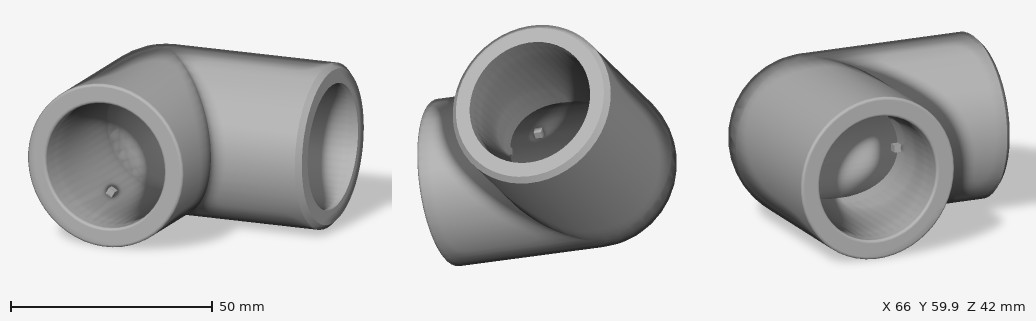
import cadquery as cq

socket_diameter = 42.0
socket_bore = 32.0
spigot_diameter = 41.9
spigot_bore = 31.95
overall_x = 66.0
overall_y = 59.9

socket_length = overall_y - socket_diameter / 2
spigot_length = overall_x - socket_diameter / 2
spigot_shift = (socket_diameter - spigot_diameter) / 2
bore_shift = (socket_bore - spigot_bore) / 2

socket_rim_fillet = 0.7
spigot_chamfer = 1.3

stop_count = 3
stop_width = 1.85
stop_height = 1.85
stop_length = 2.0
stop_overlap = 0.65
stop_start = socket_bore / 2


def socket_cylinder(diameter):
    """Cylinder from the corner to the socket mouth."""
    return cq.Workplane("XZ").circle(diameter / 2).extrude(socket_length)


def spigot_cylinder(diameter, shift):
    """Cylinder from the corner to the spigot end, shifted along Y."""
    return cq.Workplane("YZ").center(shift, 0).circle(diameter / 2).extrude(spigot_length)


def elbow_outside():
    socket = socket_cylinder(socket_diameter).faces("<Y").edges().fillet(socket_rim_fillet)
    spigot = spigot_cylinder(spigot_diameter, spigot_shift).faces(">X").edges().chamfer(spigot_chamfer)
    corner = cq.Workplane("XY").sphere(socket_diameter / 2)
    return corner.union(socket).union(spigot)


def elbow_passage():
    corner = cq.Workplane("XY").sphere(socket_bore / 2)
    socket = socket_cylinder(socket_bore)
    return corner.union(socket).union(spigot_cylinder(spigot_bore, bore_shift))


def pipe_stop(angle):
    """Small block standing inwards from the socket wall, at an angle about the Y axis."""
    radial_size = stop_height + stop_overlap
    middle_radius = socket_bore / 2 + stop_overlap - radial_size / 2
    block = cq.Workplane("XY").box(radial_size, stop_length, stop_width)
    block = block.translate((middle_radius, -stop_start - stop_length / 2, 0))
    return block.rotate((0, 0, 0), (0, 1, 0), angle)


result = elbow_outside().cut(elbow_passage())

result = result.faces("<Y").edges(cq.selectors.RadiusNthSelector(0)).fillet(socket_rim_fillet)

for index in range(stop_count):
    result = result.union(pipe_stop(index * 360 / stop_count))